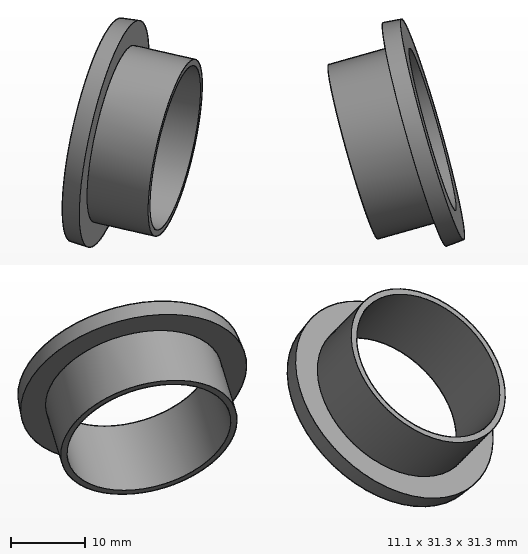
import cadquery as cq

total_length = 11.1
flange_thickness = 2.5
flange_diameter = 31.3
flange_face_diameter = 30.85
sleeve_diameter = 24.4
bore_diameter = 22.65

flange_radius = flange_diameter / 2
flange_face_radius = flange_face_diameter / 2
sleeve_radius = sleeve_diameter / 2
bore_radius = bore_diameter / 2

half_section = (
    cq.Workplane("XZ")
    .moveTo(0, bore_radius)
    .lineTo(0, flange_face_radius)
    .lineTo(flange_thickness, flange_radius)
    .lineTo(flange_thickness, sleeve_radius)
    .lineTo(total_length, sleeve_radius)
    .lineTo(total_length, bore_radius)
    .close()
)
result = half_section.revolve(360, (0, 0, 0), (1, 0, 0))